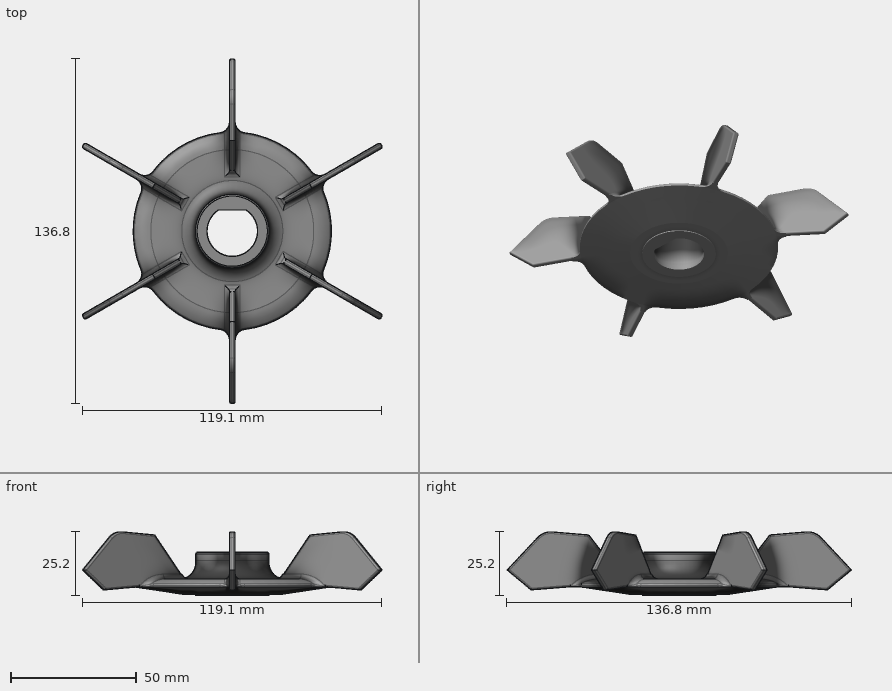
import cadquery as cq
import math

DISC_RADIUS = 39.4
DISC_TOP = 6.5
FLAT_RADIUS = 32.4
DROOP_RADIUS = 13.0
CONE_START_RADIUS = 19.4
CONE_START_HEIGHT = 0.4
RIM_BOTTOM = 3.4
RIM_ROUND = 1.0

HUB_RADIUS = 14.6
HUB_TOP = 17.2
HUB_CHAMFER = 0.7
HUB_FILLET_WIDTH = 5.5
HUB_FILLET_HEIGHT = 7.2
BORE_RADIUS = 10.0
BORE_FLAT_Y = 8.3

BLADE_COUNT = 6
BLADE_START_ANGLE = 30
BLADE_THICKNESS = 2.3
BLADE_FOOT = (22.4, DISC_TOP)
BLADE_SHOULDER = (36.0, 24.0)
BLADE_CROWN = (53.9, 25.5)
BLADE_TIP = (68.4, 10.1)
BLADE_LOWER_CORNER = (58.8, 2.2)
CROWN_ROUND = 7.1
BLADE_ROUND = 0.7

FOOT_FILLET = 1.9
FLARE_RADIUS = 4.2

STOCK_RADIUS = 44.4
STOCK_DEPTH = 13.7
ROOT_DEPTH = 6.8
TOOL_RADIUS = 54.7
TOOL_HEIGHT = 27.3

BLADE_OVERLAP = 1.4
TOLERANCE = 0.1

HALF_THICKNESS = BLADE_THICKNESS / 2
BLADE_ANGLES = [BLADE_START_ANGLE + i * 360 / BLADE_COUNT for i in range(BLADE_COUNT)]

FLARE_OFFSET = HALF_THICKNESS + FLARE_RADIUS
FLARE_END = math.sqrt((DISC_RADIUS + FLARE_RADIUS) ** 2 - FLARE_OFFSET**2)


def droop_point(radius):
    """Point on the arc that carries the disc top down from its flat ring."""
    drop = DROOP_RADIUS - math.sqrt(DROOP_RADIUS**2 - (radius - FLAT_RADIUS) ** 2)
    return (radius, DISC_TOP - drop)


def blade_line(height):
    """Point on the straight inner edge of a blade."""
    run = BLADE_SHOULDER[0] - BLADE_FOOT[0]
    rise = BLADE_SHOULDER[1] - BLADE_FOOT[1]
    return (BLADE_FOOT[0] + (height - BLADE_FOOT[1]) * run / rise, height)


def end_radii(edge):
    """Distances of an edge's two ends from the axis, nearer one first."""
    return sorted(math.hypot(p.x, p.y) for p in (edge.startPoint(), edge.endPoint()))


def turned(shape, angle):
    """Shape turned about the hub axis."""
    return shape.rotate((0, 0, 0), (0, 0, 1), angle)


def plate(outline):
    """Blade-thick plate standing along +X."""
    return cq.Workplane("XZ").polyline(outline).close().extrude(HALF_THICKNESS, both=True)


def make_stock():
    """Hub on a thick block whose top is the disc's top surface."""
    fillet_start = (HUB_RADIUS + HUB_FILLET_WIDTH, DISC_TOP)
    fillet_end = (HUB_RADIUS, DISC_TOP + HUB_FILLET_HEIGHT)
    fillet_middle = (
        fillet_start[0] - HUB_FILLET_WIDTH * math.sqrt(0.5),
        fillet_end[1] - HUB_FILLET_HEIGHT * math.sqrt(0.5),
    )
    return (
        cq.Workplane("XZ")
        .moveTo(0, -STOCK_DEPTH)
        .lineTo(STOCK_RADIUS, -STOCK_DEPTH)
        .lineTo(*droop_point(STOCK_RADIUS))
        .threePointArc(droop_point((STOCK_RADIUS + FLAT_RADIUS) / 2), (FLAT_RADIUS, DISC_TOP))
        .lineTo(*fillet_start)
        .threePointArc(fillet_middle, fillet_end)
        .lineTo(HUB_RADIUS, HUB_TOP - HUB_CHAMFER)
        .lineTo(HUB_RADIUS - HUB_CHAMFER, HUB_TOP)
        .lineTo(0, HUB_TOP)
        .close()
        .revolve(360, (0, 0), (0, 1))
    )


def add_feet(stock):
    """Add low blade roots and fillet them along the disc's top surface."""
    root_top = DISC_TOP + FOOT_FILLET + TOLERANCE
    root_end = STOCK_RADIUS + BLADE_OVERLAP
    root = plate(
        [
            blade_line(-ROOT_DEPTH),
            blade_line(root_top),
            (root_end, root_top),
            (root_end, -ROOT_DEPTH),
        ]
    )
    for angle in BLADE_ANGLES:
        stock = stock.union(turned(root, angle))
    lowest = droop_point(STOCK_RADIUS)[1] - TOLERANCE
    foot_edges = []
    for edge in stock.edges().vals():
        box = edge.BoundingBox()
        near, far = end_radii(edge)
        on_top = lowest < box.zmin and box.zmax < DISC_TOP + TOLERANCE
        runs_outward = far - near > BLADE_OVERLAP
        inner_end = edge.geomType() == "LINE" and far < FLAT_RADIUS
        if on_top and (runs_outward or inner_end):
            foot_edges.append(edge)
    return stock.newObject(foot_edges).fillet(FOOT_FILLET)


def make_underside():
    """Space below the hub, the conical underside and the rim."""
    return (
        cq.Workplane("XZ")
        .polyline(
            [
                (0, -TOOL_HEIGHT),
                (0, 0),
                (HUB_RADIUS, 0),
                (HUB_RADIUS, CONE_START_HEIGHT),
                (CONE_START_RADIUS, CONE_START_HEIGHT),
                (DISC_RADIUS, RIM_BOTTOM),
                (TOOL_RADIUS, RIM_BOTTOM),
                (TOOL_RADIUS, -TOOL_HEIGHT),
            ]
        )
        .close()
        .revolve(360, (0, 0), (0, 1))
    )


def make_rim_outline():
    """Upright prism of the disc outline with a concave flare at each blade."""
    touch_scale = DISC_RADIUS / (DISC_RADIUS + FLARE_RADIUS)
    touch = (FLARE_END * touch_scale, FLARE_OFFSET * touch_scale)
    half_angle = math.atan2(FLARE_END, FLARE_OFFSET) / 2
    middle = (
        FLARE_END - FLARE_RADIUS * math.sin(half_angle),
        FLARE_OFFSET - FLARE_RADIUS * math.cos(half_angle),
    )
    flare = (
        cq.Workplane("XY")
        .moveTo(0, -touch[1])
        .lineTo(touch[0], -touch[1])
        .threePointArc((middle[0], -middle[1]), (FLARE_END, -HALF_THICKNESS))
        .lineTo(FLARE_END, HALF_THICKNESS)
        .threePointArc(middle, touch)
        .lineTo(0, touch[1])
        .close()
        .extrude(TOOL_HEIGHT)
    )
    prism = cq.Workplane("XY").circle(DISC_RADIUS).extrude(TOOL_HEIGHT)
    for angle in BLADE_ANGLES:
        prism = prism.union(turned(flare, angle))
    return prism


def round_rim(disc):
    """Round the upper rim edge between the flares."""
    rim_edges = []
    for edge in disc.edges().vals():
        near, far = end_radii(edge)
        on_rim = abs(near - DISC_RADIUS) < TOLERANCE and abs(far - DISC_RADIUS) < TOLERANCE
        box = edge.BoundingBox()
        if on_rim and box.zlen < TOLERANCE and box.zmin > RIM_BOTTOM + TOLERANCE:
            rim_edges.append(edge)
    return disc.newObject(rim_edges).fillet(RIM_ROUND)


def make_blade():
    """Paddle along +X with a rounded crown and both outlines rounded over."""
    blade = plate(
        [
            blade_line(DISC_TOP - BLADE_OVERLAP),
            BLADE_SHOULDER,
            BLADE_CROWN,
            BLADE_TIP,
            BLADE_LOWER_CORNER,
            (FLARE_END, RIM_BOTTOM),
            (DISC_RADIUS - BLADE_OVERLAP, RIM_BOTTOM + TOLERANCE),
        ]
    )
    crown = cq.selectors.NearestToPointSelector((BLADE_CROWN[0], 0, BLADE_CROWN[1]))
    blade = blade.edges("|Y").edges(crown).fillet(CROWN_ROUND)
    return blade.faces("|Y").edges().fillet(BLADE_ROUND)


def make_bore():
    """Through bore with one flat facing +Y."""
    width = 2 * BORE_RADIUS
    below_flat = (
        cq.Workplane("XY")
        .center(0, BORE_FLAT_Y - BORE_RADIUS)
        .rect(width, width)
        .extrude(TOOL_HEIGHT)
    )
    return cq.Workplane("XY").circle(BORE_RADIUS).extrude(TOOL_HEIGHT).intersect(below_flat)


disc = add_feet(make_stock()).cut(make_underside()).intersect(make_rim_outline())
fan = round_rim(disc)
for angle in BLADE_ANGLES:
    fan = fan.union(turned(make_blade(), angle))
result = fan.cut(make_bore())